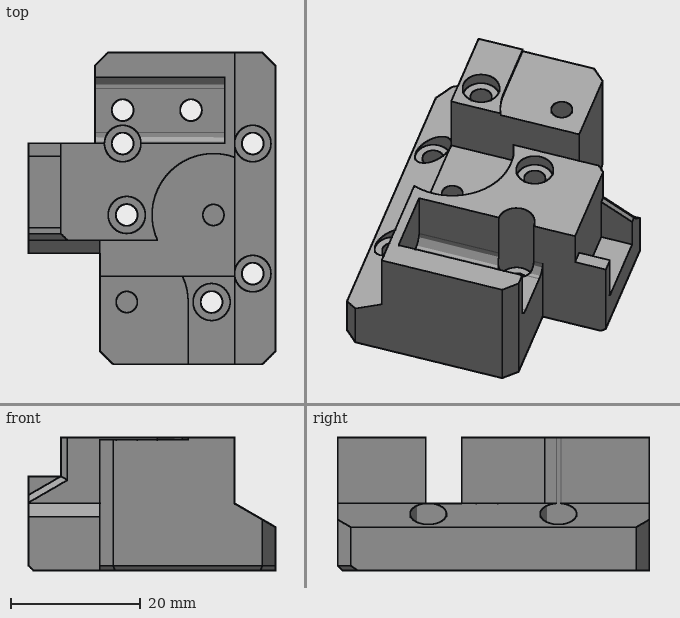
import cadquery as cq
import math


LENGTH_X = 38.0
WIDTH_Y = 48.0
HEIGHT = 20.5

FRONT_LEFT = 11.0
REAR_LEFT = 10.2
CORNER_CHAMFER = 2.0
BOTTOM_CHAMFER = 0.75

SHOULDER_X = 31.75
SHOULDER_Z = 10.3
SHOULDER_ANGLE = 30.0

ARM_FRONT = 17.1
ARM_REAR = 34.05
LEDGE = 2.0
BLOCK_LEFT = 5.0
BLOCK_FRONT = ARM_FRONT + LEDGE
BLOCK_CHAMFER = 1.0
LUG_TOP = 14.5
LUG_THICKNESS = 2.0
NOTCH_WIDTH = 11.0
NOTCH_FLOOR = 6.4
RAMP_ANGLE = 30.0

SLOT_REAR = BLOCK_FRONT
SLOT_FRONT = 13.6
SWING_RADIUS = 9.45
STEP_DEPTH = 0.4

POCKET_FRONT = ARM_REAR
POCKET_REAR = 44.2
POCKET_RIGHT = 30.25
POCKET_FLOOR = 10.65
POCKET_FILLET = 1.7

PIN_HOLE = 3.25
PIN_DEPTH = 5.0
SCREW_HOLE = 3.3
MOUNT_COUNTERBORE = 5.6
MOUNT_FLOOR = 6.7
TOP_COUNTERBORE = 5.7
TOP_COUNTERBORE_DEPTH = 2.0

MOUNT_SPACING = 20.0
MOUNT_LEFT = 14.5
MOUNT_REAR = 34.0
MOUNT_RIGHT = MOUNT_LEFT + MOUNT_SPACING
MOUNT_POINTS = [
    (MOUNT_LEFT, MOUNT_REAR),
    (MOUNT_RIGHT, MOUNT_REAR),
    (MOUNT_RIGHT, MOUNT_REAR - MOUNT_SPACING),
]
POCKET_HOLE_Y = 39.1
POCKET_HOLE_SPACING = 10.5
POCKET_HOLE_POINTS = [(MOUNT_LEFT, POCKET_HOLE_Y), (MOUNT_LEFT + POCKET_HOLE_SPACING, POCKET_HOLE_Y)]
REAR_PIN = (28.45, 23.0)
FRONT_PIN = (15.1, 9.6)
FRONT_SCREW_X = 28.2
TOP_SCREW_POINTS = [(FRONT_PIN[0], REAR_PIN[1]), (FRONT_SCREW_X, FRONT_PIN[1])]


def box(x0, x1, y0, y1, z0, z1):
    return cq.Workplane("XY").box(x1 - x0, y1 - y0, z1 - z0, centered=False).translate((x0, y0, z0))


def cylinder(center, diameter, z0, z1):
    return cq.Workplane("XY", origin=(*center, z0)).circle(diameter / 2).extrude(z1 - z0)


def make_body():
    front = box(FRONT_LEFT, LENGTH_X, 0, ARM_REAR, 0, HEIGHT)
    front = front.edges("|Z and <Y").chamfer(CORNER_CHAMFER)
    front = front.faces("<Z").edges("<Y or (not (#X or #Y))").chamfer(BOTTOM_CHAMFER)
    rear = box(REAR_LEFT, LENGTH_X, ARM_REAR, WIDTH_Y, 0, HEIGHT)
    rear = rear.edges("|Z and >Y").chamfer(CORNER_CHAMFER)
    return front.union(rear)


def make_shoulder_cut():
    drop = (LENGTH_X - SHOULDER_X) * math.tan(math.radians(SHOULDER_ANGLE))
    return (
        cq.Workplane("XZ")
        .moveTo(SHOULDER_X, HEIGHT)
        .lineTo(SHOULDER_X, SHOULDER_Z)
        .lineTo(LENGTH_X, SHOULDER_Z - drop)
        .lineTo(LENGTH_X, HEIGHT)
        .close()
        .extrude(-WIDTH_Y)
    )


def make_arm():
    base = box(0, FRONT_LEFT, ARM_FRONT, ARM_REAR, 0, SHOULDER_Z)
    base = base.edges("|X and >Z and <Y").chamfer(LEDGE)
    base = base.edges("|Y and <X and <Z").chamfer(BOTTOM_CHAMFER)

    ramp_drop = BLOCK_LEFT * math.tan(math.radians(RAMP_ANGLE))
    block = (
        cq.Workplane("XZ", origin=(0, BLOCK_FRONT, 0))
        .moveTo(0, NOTCH_FLOOR)
        .lineTo(0, LUG_TOP - ramp_drop)
        .lineTo(BLOCK_LEFT, LUG_TOP)
        .lineTo(BLOCK_LEFT, HEIGHT)
        .lineTo(FRONT_LEFT, HEIGHT)
        .lineTo(FRONT_LEFT, NOTCH_FLOOR)
        .close()
        .extrude(BLOCK_FRONT - ARM_REAR)
    )
    ramp_middle = (BLOCK_LEFT / 2, BLOCK_FRONT, LUG_TOP - ramp_drop / 2)
    corner_middle = (BLOCK_LEFT, BLOCK_FRONT, (LUG_TOP + HEIGHT) / 2)
    front_edges = block.edges(cq.selectors.NearestToPointSelector(ramp_middle))
    front_edges = front_edges.add(block.edges(cq.selectors.NearestToPointSelector(corner_middle)))
    block = front_edges.chamfer(BLOCK_CHAMFER)

    notch_rear = ARM_REAR - LUG_THICKNESS
    notch_front = notch_rear - NOTCH_WIDTH
    rear_lug = box(0, BLOCK_LEFT, notch_rear, ARM_REAR, NOTCH_FLOOR, LUG_TOP)
    notch = box(0, BLOCK_LEFT, notch_front, notch_rear, NOTCH_FLOOR, HEIGHT)
    return base.union(block).union(rear_lug).cut(notch)


def make_slot():
    slot = box(FRONT_LEFT, SHOULDER_X, SLOT_FRONT, SLOT_REAR, SHOULDER_Z, HEIGHT)
    swing = cylinder(REAR_PIN, 2 * SWING_RADIUS, SHOULDER_Z, HEIGHT)
    behind_slot = box(FRONT_LEFT, SHOULDER_X, SLOT_FRONT, WIDTH_Y, SHOULDER_Z, HEIGHT)
    return slot.union(swing.intersect(behind_slot))


def make_front_step():
    step_floor = HEIGHT - STEP_DEPTH
    right = FRONT_PIN[0] + SWING_RADIUS
    straight = box(FRONT_LEFT, right, 0, FRONT_PIN[1], step_floor, HEIGHT)
    swing = cylinder(FRONT_PIN, 2 * SWING_RADIUS, step_floor, HEIGHT)
    swing_limit = box(FRONT_LEFT, right, FRONT_PIN[1], SLOT_FRONT, step_floor, HEIGHT)
    return straight.union(swing.intersect(swing_limit))


def make_pocket():
    pocket = box(REAR_LEFT, POCKET_RIGHT, POCKET_FRONT, POCKET_REAR, POCKET_FLOOR, HEIGHT)
    return pocket.edges("|X and <Z").fillet(POCKET_FILLET)


def make_holes():
    holes = cylinder(REAR_PIN, PIN_HOLE, SHOULDER_Z - PIN_DEPTH, HEIGHT)
    step_floor = HEIGHT - STEP_DEPTH
    holes = holes.union(cylinder(FRONT_PIN, PIN_HOLE, step_floor - PIN_DEPTH, HEIGHT))
    for point in POCKET_HOLE_POINTS + MOUNT_POINTS + TOP_SCREW_POINTS:
        holes = holes.union(cylinder(point, SCREW_HOLE, 0, HEIGHT))
    for point in MOUNT_POINTS:
        holes = holes.union(cylinder(point, MOUNT_COUNTERBORE, MOUNT_FLOOR, HEIGHT))
    for point in TOP_SCREW_POINTS:
        floor = HEIGHT - TOP_COUNTERBORE_DEPTH
        holes = holes.union(cylinder(point, TOP_COUNTERBORE, floor, HEIGHT))
    return holes


result = make_body().cut(make_shoulder_cut()).union(make_arm())
for cutter in (make_slot(), make_front_step(), make_pocket(), make_holes()):
    result = result.cut(cutter)